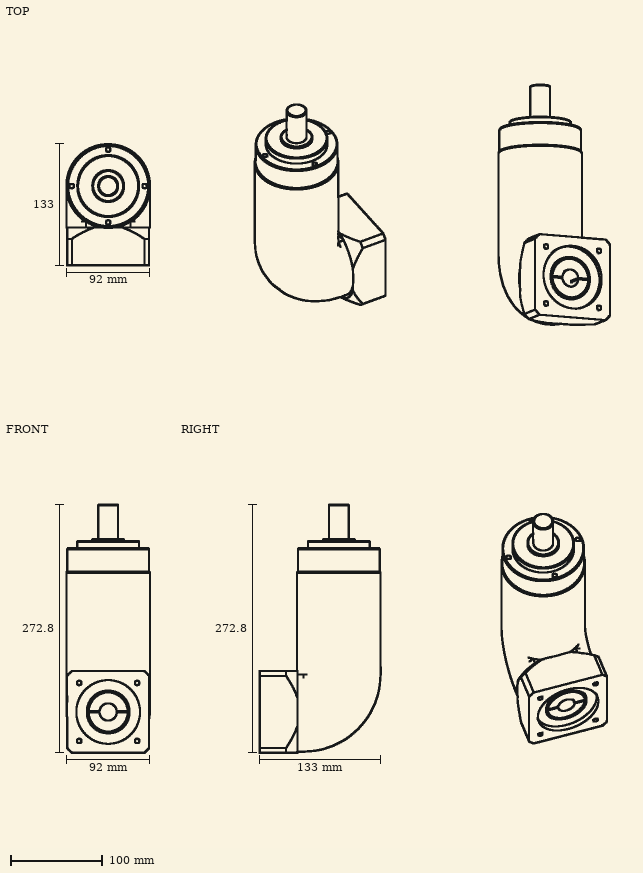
import cadquery as cq
import math


FLANGE_SIDE = 90.0
FLANGE_CORNER_RADIUS = 60.0
FLANGE_NECK_RADIUS = 47.7
FLANGE_FRONT_Y = -87.0
FLANGE_BACK_Y = -45.6
FLANGE_BOLT_CIRCLE = 90.0
FLANGE_HOLE_ANGLE = 45.0
FLANGE_HOLE_DIAMETER = 5.0
FLANGE_HOLE_DEPTH = 12.0

RECESS_DIAMETER = 70.0
RECESS_DEPTH = 6.0
HUB_DIAMETER = 45.0
HUB_CHAMFER = 1.0
HUB_GAP = 1.0
HUB_GAP_DEPTH = 2.0
BORE_DIAMETER = 19.0
BORE_DEPTH = 40.0
CLAMP_SLOT_WIDTH = 1.6
CLAMP_SLOT_DEPTH = 20.0

HOUSING_RADIUS = 46.0
ELBOW_RADIUS = 39.0
ELBOW_TOP_Z = 41.2
STUB_AXIS_Z = ELBOW_TOP_Z - ELBOW_RADIUS

SHAFT_TOP_Z = 227.8
SHAFT_LENGTH = 48.0
RING_TOP_Z = SHAFT_TOP_Z - SHAFT_LENGTH
RING_RADIUS = 45.0
RING_CHAMFER_WIDTH = 1.0
RING_CHAMFER_HEIGHT = 1.5
RING_HEIGHT = 25.5
HOUSING_LEDGE_DROP = 1.5
PILOT_RADIUS = 34.0
PILOT_HEIGHT = 8.0
PILOT_CHAMFER = 1.0
COLLAR_RADIUS = 17.5
COLLAR_HEIGHT = 2.0
COLLAR_CHAMFER = 1.0
SHAFT_RADIUS = 11.0
SHAFT_CHAMFER = 1.0
OUTPUT_BOLT_CIRCLE = 80.0
OUTPUT_HOLE_DIAMETER = 5.0
OUTPUT_HOLE_DEPTH = 12.0

HOLE_COUNT = 4
DRILL_POINT_ANGLE = 118.0


def drill(diameter, depth):
    """Blind drilled hole with a pointed end, entering at the origin and going along -Z."""
    radius = diameter / 2
    point_length = radius / math.tan(math.radians(DRILL_POINT_ANGLE / 2))
    return (
        cq.Workplane("XZ")
        .moveTo(0, 0)
        .lineTo(radius, 0)
        .lineTo(radius, -depth)
        .lineTo(0, -depth - point_length)
        .close()
        .revolve(360, (0, 0, 0), (0, 1, 0))
    )


def drill_pattern(diameter, depth, bolt_circle, first_angle):
    """Drilled holes evenly spaced on a bolt circle around Z, entering at Z = 0."""
    holes = cq.Workplane("XY")
    for index in range(HOLE_COUNT):
        angle = first_angle + 360 / HOLE_COUNT * index
        hole = drill(diameter, depth).translate((bolt_circle / 2, 0, 0))
        holes = holes.add(hole.rotate((0, 0, 0), (0, 0, 1), angle))
    return holes.combine()


def to_motor_face(body):
    """Turn a body built along Z so that Z = 0 lies on the motor face and +Z points to -Y."""
    return body.rotate((0, 0, 0), (1, 0, 0), 90).translate((0, FLANGE_FRONT_Y, 0))


def disc(radius, bottom_z, height):
    """Solid cylinder around Z."""
    return cq.Workplane("XY").workplane(offset=bottom_z).circle(radius).extrude(height)


def output_end():
    """Stepped turned end: straight housing, ring, pilot, seal collar and shaft."""
    ring_bottom = RING_TOP_Z - RING_HEIGHT
    pilot_top = RING_TOP_Z + PILOT_HEIGHT
    collar_top = pilot_top + COLLAR_HEIGHT
    profile_plane = cq.Plane(origin=(0, 0, 0), xDir=(0, -1, 0), normal=(-1, 0, 0))
    return (
        cq.Workplane(profile_plane)
        .moveTo(0, ELBOW_TOP_Z)
        .lineTo(HOUSING_RADIUS, ELBOW_TOP_Z)
        .lineTo(HOUSING_RADIUS, ring_bottom - HOUSING_LEDGE_DROP)
        .lineTo(RING_RADIUS, ring_bottom)
        .lineTo(RING_RADIUS, RING_TOP_Z - RING_CHAMFER_HEIGHT)
        .lineTo(RING_RADIUS - RING_CHAMFER_WIDTH, RING_TOP_Z)
        .lineTo(PILOT_RADIUS, RING_TOP_Z)
        .lineTo(PILOT_RADIUS, pilot_top - PILOT_CHAMFER)
        .lineTo(PILOT_RADIUS - PILOT_CHAMFER, pilot_top)
        .lineTo(COLLAR_RADIUS, pilot_top)
        .lineTo(COLLAR_RADIUS, collar_top - COLLAR_CHAMFER)
        .lineTo(COLLAR_RADIUS - COLLAR_CHAMFER, collar_top)
        .lineTo(SHAFT_RADIUS, collar_top)
        .lineTo(SHAFT_RADIUS, SHAFT_TOP_Z - SHAFT_CHAMFER)
        .lineTo(SHAFT_RADIUS - SHAFT_CHAMFER, SHAFT_TOP_Z)
        .lineTo(0, SHAFT_TOP_Z)
        .close()
        .revolve(360, (0, 0, 0), (0, 1, 0))
    )


def housing_section():
    """Housing circle on the elbow's top plane, cut off straight at the elbow's turning axis."""
    half_chord = math.sqrt(HOUSING_RADIUS**2 - ELBOW_RADIUS**2)
    return (
        cq.Workplane("XY", origin=(0, 0, ELBOW_TOP_Z))
        .moveTo(-half_chord, -ELBOW_RADIUS)
        .threePointArc((0, HOUSING_RADIUS), (half_chord, -ELBOW_RADIUS))
        .close()
    )


def elbow():
    """Quarter-turn elbow and the short straight stub that joins it to the flange."""
    bend = housing_section().revolve(90, (0, -ELBOW_RADIUS, 0), (-1, -ELBOW_RADIUS, 0))
    stub_length = -ELBOW_RADIUS - FLANGE_BACK_Y
    stub = (
        cq.Workplane("XZ", origin=(0, -ELBOW_RADIUS, STUB_AXIS_Z))
        .circle(HOUSING_RADIUS)
        .extrude(stub_length)
    )
    above_stub = (
        cq.Workplane("XY", origin=(0, -ELBOW_RADIUS, ELBOW_TOP_Z))
        .rect(2 * HOUSING_RADIUS, 2 * HOUSING_RADIUS)
        .extrude(HOUSING_RADIUS)
    )
    return bend.union(stub.cut(above_stub))


def motor_flange():
    """Square block bounded by a turned blank whose back is a 45 degree cone."""
    length = FLANGE_BACK_Y - FLANGE_FRONT_Y
    cone_length = FLANGE_CORNER_RADIUS - FLANGE_NECK_RADIUS
    block = cq.Workplane("XY").rect(FLANGE_SIDE, FLANGE_SIDE).extrude(-length)
    blank = (
        cq.Workplane("XZ")
        .moveTo(0, 0)
        .lineTo(FLANGE_CORNER_RADIUS, 0)
        .lineTo(FLANGE_CORNER_RADIUS, cone_length - length)
        .lineTo(FLANGE_NECK_RADIUS, -length)
        .lineTo(0, -length)
        .close()
        .revolve(360, (0, 0, 0), (0, 1, 0))
    )
    return to_motor_face(block.intersect(blank))


def motor_cuts():
    """Pilot recess, gap around the chamfered hub, bore, clamp slots and mounting holes."""
    hub_radius = HUB_DIAMETER / 2
    floor = -RECESS_DEPTH
    recess = disc(RECESS_DIAMETER / 2, floor, RECESS_DEPTH)
    gap = (
        cq.Workplane("XZ")
        .moveTo(hub_radius - HUB_CHAMFER, floor)
        .lineTo(hub_radius + HUB_GAP, floor)
        .lineTo(hub_radius + HUB_GAP, floor - HUB_GAP_DEPTH)
        .lineTo(hub_radius, floor - HUB_GAP_DEPTH)
        .lineTo(hub_radius, floor - HUB_CHAMFER)
        .close()
        .revolve(360, (0, 0, 0), (0, 1, 0))
    )
    bore = disc(BORE_DIAMETER / 2, floor - BORE_DEPTH, BORE_DEPTH)
    slots = (
        cq.Workplane("XY")
        .workplane(offset=floor)
        .rect(HUB_DIAMETER, CLAMP_SLOT_WIDTH)
        .extrude(-CLAMP_SLOT_DEPTH)
    )
    holes = drill_pattern(
        FLANGE_HOLE_DIAMETER, FLANGE_HOLE_DEPTH, FLANGE_BOLT_CIRCLE, FLANGE_HOLE_ANGLE
    )
    return to_motor_face(recess.union(gap).union(bore).union(slots).union(holes))


def output_holes():
    """Mounting holes in the shoulder of the output ring."""
    holes = drill_pattern(OUTPUT_HOLE_DIAMETER, OUTPUT_HOLE_DEPTH, OUTPUT_BOLT_CIRCLE, 0)
    return holes.translate((0, 0, RING_TOP_Z))


result = (
    output_end()
    .union(elbow())
    .union(motor_flange())
    .cut(motor_cuts())
    .cut(output_holes())
)